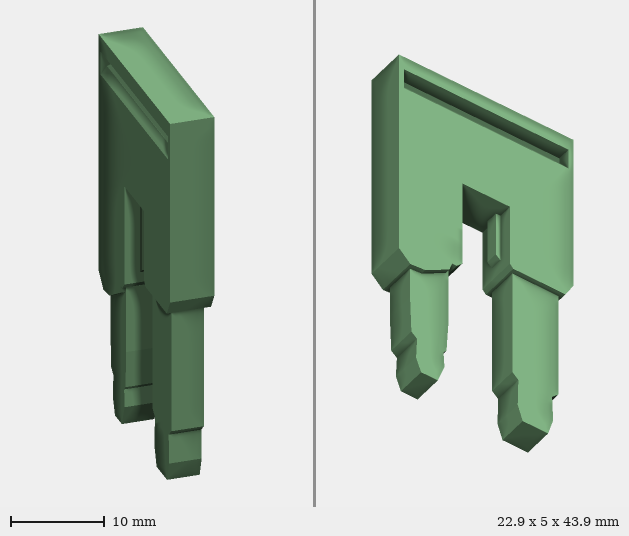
import cadquery as cq

width = 22.9
thickness = 5.0
height = 43.85
half_width = width / 2
front_face = -thickness / 2

gap_half_width = 3.1
gap_top = 29.6

blade_thickness = 3.7
blade_root = 26.3

rib_thickness = 1.55
rib_height = 0.6
left_rib_bottom = 19.15
right_rib_bottom = 23.15
rib_chamfer_rise = 0.53

recess_width = 21.57
recess_top = 42.05
recess_depth = 1.65
recess_front_bottom = 39.35
recess_step_depth = 0.7
recess_step_height = 40.25
recess_back_bottom = 40.55


def centred_plate(points, depth):
    """Extrude an XZ outline symmetrically about the middle plane."""
    return cq.Workplane("XZ").polyline(points).close().extrude(depth / 2, both=True)


def housing():
    outline = [
        (-half_width, height),
        (half_width, height),
        (half_width, 22.63),
        (10.4, 20.85),
        (3.55, 20.85),
        (gap_half_width, 21.35),
        (gap_half_width, gap_top),
        (-gap_half_width, gap_top),
        (-gap_half_width, 18.0),
        (-3.85, 17.25),
        (-4.47, 17.25),
        (-4.82, 16.2),
        (-8.0, 14.4),
        (-9.95, 14.2),
        (-half_width, 15.75),
    ]
    return centred_plate(outline, thickness)


def left_blade():
    outline = [
        (-9.5, blade_root),
        (-9.5, 10.1),
        (-9.35, 5.2),
        (-8.6, 4.55),
        (-8.73, 1.8),
        (-8.05, 0.0),
        (-5.88, 0.0),
        (-5.0, 2.4),
        (-5.15, 4.47),
        (-4.75, 4.9),
        (-4.47, 9.2),
        (-4.47, blade_root),
    ]
    return centred_plate(outline, blade_thickness)


def right_blade():
    outline = [
        (3.9, blade_root),
        (3.9, 6.55),
        (4.7, 5.8),
        (4.6, 2.15),
        (5.25, 0.15),
        (8.6, 0.15),
        (9.25, 2.35),
        (9.1, 5.75),
        (9.95, 6.55),
        (9.95, blade_root),
    ]
    return centred_plate(outline, blade_thickness)


def guide_rib(side, bottom):
    """Rib on one wall of the opening; side is -1 for left and +1 for right."""
    wall = side * gap_half_width
    crest = side * (gap_half_width - rib_height)
    outline = [
        (wall, gap_top),
        (crest, gap_top),
        (crest, bottom + rib_chamfer_rise),
        (wall, bottom),
    ]
    return centred_plate(outline, rib_thickness)


def label_recess():
    back = front_face + recess_depth
    profile = [
        (front_face, recess_front_bottom),
        (front_face + recess_step_depth, recess_step_height),
        (back, recess_back_bottom),
        (back, recess_top),
        (front_face, recess_top),
    ]
    return cq.Workplane("YZ").polyline(profile).close().extrude(recess_width / 2, both=True)


result = (
    housing()
    .union(left_blade())
    .union(right_blade())
    .union(guide_rib(-1, left_rib_bottom))
    .union(guide_rib(1, right_rib_bottom))
    .cut(label_recess())
)